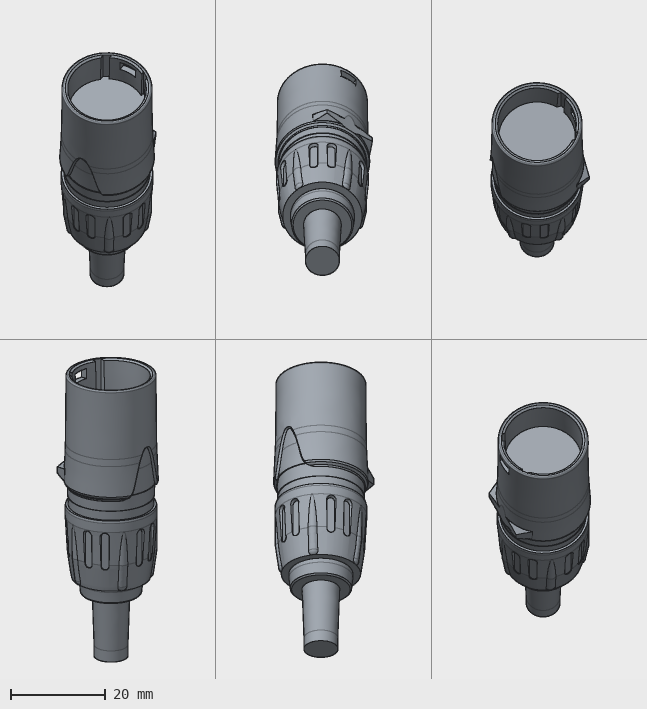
import cadquery as cq
import math

TOTAL_HEIGHT = 64.5
CABLE_BAND_TOP = 2.6
NUT_BOTTOM = 14.5
COLLAR_BOTTOM = 18.25
COLLAR_KNEE = 24.5
RING_BOTTOM = 32.25
RING_TOP = 34.85
SHELL_BOTTOM = 39.2

CABLE_RADIUS = 3.6
CABLE_ROOT_RADIUS = 4.0
NUT_RADIUS = 6.8
NUT_LOWER_RADIUS = 6.5
NUT_STRAIGHT_LENGTH = 1.0
NUT_CHAMFER = 0.3

RING_RADIUS = 9.75
RING_CHAMFER_WIDTH = 0.1
RING_CHAMFER_HEIGHT = 0.5
COLLAR_KNEE_RADIUS = 9.3
COLLAR_BOTTOM_RADIUS = 8.4
COLLAR_BULGE = 0.05
GRIP_COUNT = 5
GRIP_PITCH = 360 / GRIP_COUNT
FIRST_GROOVE_PAIR_ANGLE = -90.0
GROOVE_HALF_SPREAD = 11.7
GROOVE_WIDTH = 1.6
GROOVE_BOTTOM = 23.4
GROOVE_TOP = 31.8
GROOVE_FLOOR_RADIUS = 9.05
GROOVE_CUT_DEPTH = 1.3
GROOVE_DRAFT = 20.0
RIB_RADIUS = 1.2
RIB_END_HEIGHT = 19.3
RIB_END_INSET = 0.7

NECK_RADIUS = 9.1
NECK_STEP = 36.9
NECK_STEP_RADIUS = 9.2
CORE_RADIUS = 9.3
PANEL_BOTTOM = 40.2
PANEL_TOP = 45.8
PANEL_BOTTOM_RADIUS = 9.5
CORE_TOP = 51.6

BARREL_RADIUS = 9.55
BAND_TOP = 49.0
BAND_TOP_RADIUS = 9.7
BAND_BOTTOM = 47.35
BAND_BOTTOM_RADIUS = 9.75
SKIRT_RADIUS = 10.035
SKIRT_BOTTOM = 40.45
SKIRT_ROUND_RADIUS = 9.9
SKIRT_ROUND_HEIGHT = 40.0
SKIRT_FOOT_RADIUS = 9.4
SKIRT_FOOT_HEIGHT = 39.55
RIM_ROUND = 0.3

ARCH_PEAK = 49.8
ARCH_FLANK = [(1.15, 48.6), (1.8, 47.1), (3.6, 41.95), (4.4, 40.65), (5.55, 39.75)]
ARCH_CLEARANCE = 0.05
ARCH_FOOT = (7.1, SHELL_BOTTOM - ARCH_CLEARANCE)
ARCH_SLOPE_START = 8.4
ARCH_SLOPE_END = 10.05
ARCH_INNER_WIDENING = -0.8
ARCH_OUTER_WIDENING = 1.3
ARCH_PEAK_SHARE = 0.6

TAB_FACE_Y = 9.8
TAB_HALF_WIDTH = 5.95
TAB_ROOT_HALF_WIDTH = 7.4
TAB_ROOT_Y = 6.65
TAB_ROOT_RADIUS = 9.95
TAB_TIP_RADIUS = math.hypot(TAB_HALF_WIDTH, TAB_FACE_Y)
TAB_ROOT_BOTTOM = 40.6
TAB_ROOT_TOP = 43.5
TAB_SLOPE_RISE = 0.8

SOCKET_RADIUS = 8.1
SOCKET_FLOOR = 57.05
SOCKET_MOUTH_RADIUS = 8.3
LIP_RADIUS = 8.85
LIP_DEPTH = 0.3
KEYWAY_RADIUS = 8.85
KEYWAY_INNER_X = 4.05
KEYWAY_OUTER_X = 5.55
LATCH_WIDTH = 3.9
LATCH_BOTTOM = 60.85
LATCH_TOP = 63.1


def turned(outline):
    """Solid turned about Z from a lower (radius, z) outline closed along the axis."""
    profile = [(0, outline[0][1])] + outline + [(0, outline[-1][1])]
    return cq.Workplane("XZ").polyline(profile).close().revolve(360, (0, 0), (0, 1))


def cable_and_nut():
    cable = turned([
        (CABLE_RADIUS, 0),
        (CABLE_RADIUS, CABLE_BAND_TOP),
        (CABLE_ROOT_RADIUS, NUT_BOTTOM),
    ])
    nut = turned([
        (NUT_LOWER_RADIUS - NUT_CHAMFER, NUT_BOTTOM),
        (NUT_LOWER_RADIUS, NUT_BOTTOM + NUT_CHAMFER),
        (NUT_RADIUS, COLLAR_BOTTOM - NUT_STRAIGHT_LENGTH),
        (NUT_RADIUS, COLLAR_BOTTOM),
    ])
    return cable.union(nut)


def collar_blank():
    bulge_point = (
        (COLLAR_BOTTOM_RADIUS + COLLAR_KNEE_RADIUS) / 2 + COLLAR_BULGE,
        (COLLAR_BOTTOM + COLLAR_KNEE) / 2,
    )
    return (
        cq.Workplane("XZ")
        .moveTo(0, COLLAR_BOTTOM)
        .lineTo(COLLAR_BOTTOM_RADIUS, COLLAR_BOTTOM)
        .threePointArc(bulge_point, (COLLAR_KNEE_RADIUS, COLLAR_KNEE))
        .lineTo(RING_RADIUS, RING_BOTTOM)
        .lineTo(RING_RADIUS, RING_TOP - RING_CHAMFER_HEIGHT)
        .lineTo(RING_RADIUS - RING_CHAMFER_WIDTH, RING_TOP)
        .lineTo(0, RING_TOP)
        .close()
        .revolve(360, (0, 0), (0, 1))
    )


def grip_rib():
    """Upright half-round rib at -X that leans in below the knee and ends in a dome."""
    axis_x = RIB_RADIUS - RING_RADIUS
    end_axis_x = axis_x + RIB_END_INSET
    upper = (
        cq.Workplane("XY", origin=(axis_x, 0, COLLAR_KNEE))
        .circle(RIB_RADIUS)
        .extrude(RING_BOTTOM - COLLAR_KNEE)
    )
    lower = (
        cq.Workplane("XY", origin=(end_axis_x, 0, RIB_END_HEIGHT))
        .circle(RIB_RADIUS)
        .workplane(offset=COLLAR_KNEE - RIB_END_HEIGHT)
        .center(-RIB_END_INSET, 0)
        .circle(RIB_RADIUS)
        .loft()
    )
    dome = (
        cq.Workplane("XY", origin=(end_axis_x, 0, RIB_END_HEIGHT))
        .sphere(RIB_RADIUS, angle1=-90, angle2=0)
    )
    below_collar = (
        cq.Workplane("XY", origin=(0, 0, COLLAR_BOTTOM))
        .circle(2 * RING_RADIUS)
        .extrude(-2 * RIB_RADIUS)
    )
    return upper.union(lower).union(dome).cut(below_collar)


def grip_groove():
    """Cutter at +X for one upright round-ended groove with drafted walls."""
    floor_plane = cq.Plane(
        origin=(GROOVE_FLOOR_RADIUS, 0, (GROOVE_BOTTOM + GROOVE_TOP) / 2),
        xDir=(0, 0, 1),
        normal=(1, 0, 0),
    )
    return (
        cq.Workplane(floor_plane)
        .slot2D(GROOVE_TOP - GROOVE_BOTTOM, GROOVE_WIDTH)
        .extrude(GROOVE_CUT_DEPTH, taper=-GROOVE_DRAFT)
    )


def grip_collar():
    """Collar with pairs of grooves, each pair standing opposite a rib."""
    collar = collar_blank()
    rib = grip_rib()
    groove = grip_groove()
    grooves = cq.Workplane("XY")
    for index in range(GRIP_COUNT):
        pair_angle = FIRST_GROOVE_PAIR_ANGLE + index * GRIP_PITCH
        collar = collar.union(rib.rotate((0, 0, 0), (0, 0, 1), pair_angle))
        for side in (-1, 1):
            groove_angle = pair_angle + side * GROOVE_HALF_SPREAD
            grooves = grooves.add(groove.rotate((0, 0, 0), (0, 0, 1), groove_angle))
    return collar.cut(grooves.combine())


def core():
    """Neck above the collar, carrying on inside the shell and showing in its window."""
    return turned([
        (NECK_RADIUS, RING_TOP),
        (NECK_RADIUS, NECK_STEP),
        (NECK_STEP_RADIUS, NECK_STEP),
        (CORE_RADIUS, PANEL_BOTTOM),
        (PANEL_BOTTOM_RADIUS, PANEL_BOTTOM),
        (CORE_RADIUS, PANEL_TOP),
        (CORE_RADIUS, CORE_TOP),
    ])


def shell_blank():
    return turned([
        (CORE_RADIUS, SHELL_BOTTOM),
        (SKIRT_FOOT_RADIUS, SKIRT_FOOT_HEIGHT),
        (SKIRT_ROUND_RADIUS, SKIRT_ROUND_HEIGHT),
        (SKIRT_RADIUS, SKIRT_BOTTOM),
        (BAND_BOTTOM_RADIUS, BAND_BOTTOM),
        (BAND_TOP_RADIUS, BAND_TOP),
        (BARREL_RADIUS, TOTAL_HEIGHT),
    ]).faces(">Z").edges().fillet(RIM_ROUND)


def half_arch_wire(distance, widening):
    """Right half of the bell outline in the plane y = -distance, grown by widening."""
    flank = [(x + widening, z) for x, z in ARCH_FLANK + [ARCH_FOOT]]
    return (
        cq.Workplane("XZ", origin=(0, -distance, 0))
        .moveTo(0, ARCH_PEAK + ARCH_PEAK_SHARE * widening)
        .spline(flank, tangents=[(1, 0), (1, 0)], includeCurrent=True)
        .lineTo(0, ARCH_FOOT[1])
        .close()
        .wire()
        .val()
    )


def arch_window():
    """Bell-shaped cutter whose edge slopes outwards through the shell wall."""
    inner = half_arch_wire(0, ARCH_INNER_WIDENING)
    waist = half_arch_wire(ARCH_SLOPE_START, ARCH_INNER_WIDENING)
    outer = half_arch_wire(ARCH_SLOPE_END, ARCH_OUTER_WIDENING)
    straight = cq.Workplane(cq.Solid.makeLoft([inner, waist], True))
    sloped = cq.Workplane(cq.Solid.makeLoft([waist, outer], True))
    half = straight.union(sloped)
    return half.union(half.mirror("YZ"))


def thumb_tab():
    """Flat-backed wedge whose upper and lower faces are cones closing towards its tips."""
    wedge = (
        cq.Workplane("XY", origin=(0, 0, SHELL_BOTTOM))
        .polyline([
            (-TAB_ROOT_HALF_WIDTH, TAB_ROOT_Y),
            (-TAB_HALF_WIDTH, TAB_FACE_Y),
            (TAB_HALF_WIDTH, TAB_FACE_Y),
            (TAB_ROOT_HALF_WIDTH, TAB_ROOT_Y),
        ])
        .close()
        .extrude(BAND_BOTTOM - SHELL_BOTTOM)
    )
    cones = turned([
        (TAB_ROOT_RADIUS, TAB_ROOT_BOTTOM),
        (TAB_TIP_RADIUS, TAB_ROOT_BOTTOM + TAB_SLOPE_RISE),
        (TAB_TIP_RADIUS, TAB_ROOT_TOP - TAB_SLOPE_RISE),
        (TAB_ROOT_RADIUS, TAB_ROOT_TOP),
    ])
    return wedge.intersect(cones)


def shell():
    behind_tab = (
        cq.Workplane("XY", origin=(0, TAB_FACE_Y + SKIRT_RADIUS, 0))
        .rect(4 * SKIRT_RADIUS, 2 * SKIRT_RADIUS)
        .extrude(TOTAL_HEIGHT)
    )
    return shell_blank().cut(arch_window()).cut(behind_tab).union(thumb_tab())


def socket():
    """Cutter for the tapered socket with its lip, two keyways and the latch opening."""
    bore = turned([
        (SOCKET_RADIUS, SOCKET_FLOOR),
        (SOCKET_MOUTH_RADIUS, TOTAL_HEIGHT - LIP_DEPTH),
        (LIP_RADIUS, TOTAL_HEIGHT),
    ])
    depth = TOTAL_HEIGHT - SOCKET_FLOOR
    keyway_limit = (
        cq.Workplane("XY", origin=(0, 0, SOCKET_FLOOR))
        .circle(KEYWAY_RADIUS)
        .extrude(depth)
    )
    keyway_x = (KEYWAY_INNER_X + KEYWAY_OUTER_X) / 2
    for side in (-1, 1):
        keyway = (
            cq.Workplane("XY", origin=(side * keyway_x, KEYWAY_RADIUS / 2, SOCKET_FLOOR))
            .rect(KEYWAY_OUTER_X - KEYWAY_INNER_X, KEYWAY_RADIUS)
            .extrude(depth)
        )
        bore = bore.union(keyway.intersect(keyway_limit))
    latch_opening = (
        cq.Workplane("XY", origin=(0, SKIRT_RADIUS / 2, LATCH_BOTTOM))
        .rect(LATCH_WIDTH, SKIRT_RADIUS)
        .extrude(LATCH_TOP - LATCH_BOTTOM)
    )
    return bore.union(latch_opening)


result = (
    cable_and_nut()
    .union(grip_collar())
    .union(core())
    .union(shell())
    .cut(socket())
)